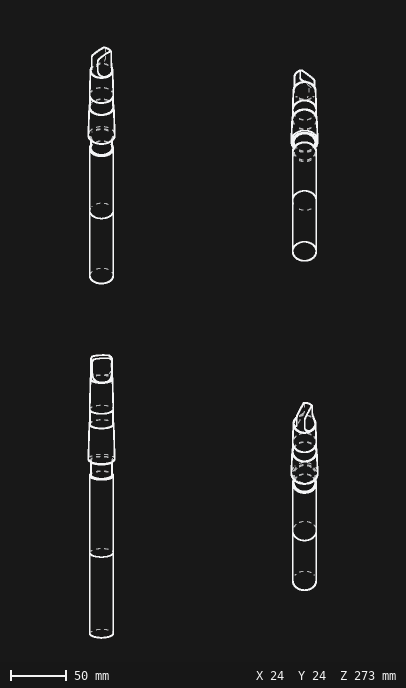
import cadquery as cq
import math

total_length = 273.0

seam_z = 82.7
body_top_z = 158.5
cone_bottom_z = 173.7
groove_bottom_z = 207.5
groove_top_z = 221.7
shoulder_z = 251.2

body_diameter = 21.3
neck_diameter = 19.0
cone_diameter = 24.0
groove_diameter = 21.0
tang_diameter = 19.0

cone_taper = 0.05
cone_chamfer = 1.5
body_chamfer = 0.8
point_angle = 135.0

tang_thickness = 8.0
tang_turn = -6.0
flat_bottom_z = 258.5
runout_radius = 7.0
dome_radius = 41.0
tang_top_fillet = 2.2


def cone_radius(z):
    """Radius of the tapered shank at height z."""
    return (cone_diameter - cone_taper * (z - cone_bottom_z)) / 2


def make_cutting_part():
    """Lower cylinder with a conical point."""
    radius = body_diameter / 2
    point_height = radius / math.tan(math.radians(point_angle / 2))
    profile = (
        cq.Workplane("XZ")
        .polyline([(0, 0), (radius, point_height), (radius, seam_z), (0, seam_z)])
        .close()
    )
    return profile.revolve(360, (0, 0, 0), (0, 1, 0))


def make_turned_shank():
    """Upper cylinder, neck and grooved taper, up to the tang shoulder."""
    body_radius = body_diameter / 2
    neck_radius = neck_diameter / 2
    groove_radius = groove_diameter / 2
    points = [
        (0, seam_z),
        (body_radius, seam_z),
        (body_radius, body_top_z - body_chamfer),
        (body_radius - body_chamfer, body_top_z),
        (neck_radius, body_top_z),
        (neck_radius, cone_bottom_z - cone_chamfer),
        (cone_diameter / 2 - cone_chamfer, cone_bottom_z - cone_chamfer),
        (cone_diameter / 2, cone_bottom_z),
        (cone_radius(groove_bottom_z), groove_bottom_z),
        (groove_radius, groove_bottom_z),
        (groove_radius, groove_top_z),
        (cone_radius(groove_top_z), groove_top_z),
        (cone_radius(shoulder_z), shoulder_z),
        (0, shoulder_z),
    ]
    return cq.Workplane("XZ").polyline(points).close().revolve(360, (0, 0, 0), (0, 1, 0))


def dome_height(radius):
    """Height of the domed tang end at a distance from the axis."""
    return total_length - dome_radius + math.sqrt(dome_radius**2 - radius**2)


def make_tang_blank():
    """Round tang with a domed end and a rounded rim."""
    radius = tang_diameter / 2
    blank = (
        cq.Workplane("XZ")
        .moveTo(0, shoulder_z)
        .lineTo(radius, shoulder_z)
        .lineTo(radius, dome_height(radius))
        .threePointArc((radius / 2, dome_height(radius / 2)), (0, total_length))
        .close()
        .revolve(360, (0, 0, 0), (0, 1, 0))
    )
    rim_center = (0, 0, dome_height(radius))
    rim = cq.selectors.NearestToPointSelector(rim_center)
    return blank.edges(rim).fillet(tang_top_fillet)


def make_flat_cutter(side):
    """Tool for one tang flat, with a quarter-round runout; side is +1 or -1."""
    flat_x = tang_thickness / 2
    outer_x = flat_x + 2 * runout_radius
    runout_z = flat_bottom_z - runout_radius
    diagonal = runout_radius * (1 - math.sqrt(0.5))
    cutter = (
        cq.Workplane("XZ")
        .moveTo(side * flat_x, total_length)
        .lineTo(side * flat_x, flat_bottom_z)
        .threePointArc(
            (side * (flat_x + diagonal), runout_z + diagonal),
            (side * (flat_x + runout_radius), runout_z),
        )
        .lineTo(side * outer_x, runout_z)
        .lineTo(side * outer_x, total_length)
        .close()
        .extrude(tang_diameter, both=True)
    )
    return cutter.rotate((0, 0, 0), (0, 0, 1), tang_turn)


def make_shank():
    """Turned shank with its flattened tang."""
    tang = make_tang_blank()
    for side in (-1, 1):
        tang = tang.cut(make_flat_cutter(side))
    return make_turned_shank().union(tang)


cutting_part = make_cutting_part()
shank = make_shank()

result = cq.Compound.makeCompound([cutting_part.val(), shank.val()])